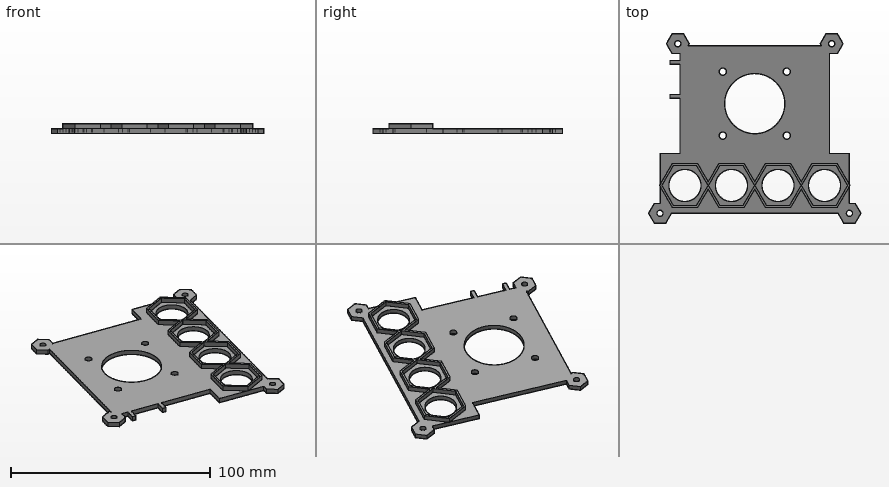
import cadquery as cq
import math

total_height = 5.0
plate_thickness = total_height / 2
ring_height = total_height - plate_thickness

overall_width = 106.5
ear_flats = 10.0
ear_diameter = ear_flats / math.cos(math.pi / 6)
ear_hole_diameter = 3.0
lower_ear_x = (overall_width - ear_diameter) / 2
upper_ear_x = 38.6
upper_ear_y = 85.0

panel_width = 2 * lower_ear_x
panel_height = 30.0
display_width = 75.0
display_top_drop = 1.0
display_top = upper_ear_y - display_top_drop

opening_y = 55.0
opening_diameter = 30.0
screw_spacing = 32.1
screw_hole_diameter = 3.5

button_count = 4
button_pitch = 23.3
button_y = 14.0
button_hole_diameter = 16.0
ring_outer_flats = 22.1
ring_inner_flats = 20.0

tab_length = 5.0
tab_width = 2.0
tab_centers_y = (58.6, 75.7)


def hexagons(points, flats, base_z, height):
    """Hexagonal prisms with flat sides facing +Y and -Y."""
    corner_diameter = flats / math.cos(math.pi / 6)
    return (
        cq.Workplane("XY", origin=(0, 0, base_z))
        .pushPoints(points)
        .polygon(6, corner_diameter)
        .extrude(height)
    )


def through_holes(points, diameter):
    """Cylinders that pass through the full plate thickness."""
    return cq.Workplane("XY").pushPoints(points).circle(diameter / 2).extrude(plate_thickness)


def slab(x_min, x_max, y_min, y_max):
    """Rectangular piece of the plate."""
    size = (x_max - x_min, y_max - y_min, plate_thickness)
    return cq.Workplane("XY").box(*size, centered=False).translate((x_min, y_min, 0))


ear_points = [
    (side * x, y)
    for x, y in ((lower_ear_x, 0), (upper_ear_x, upper_ear_y))
    for side in (-1, 1)
]
screw_points = [
    (side_x * screw_spacing / 2, opening_y + side_y * screw_spacing / 2)
    for side_x in (-1, 1)
    for side_y in (-1, 1)
]
button_points = [
    ((index - (button_count - 1) / 2) * button_pitch, button_y)
    for index in range(button_count)
]

plate = slab(-panel_width / 2, panel_width / 2, 0, panel_height)
plate = plate.union(slab(-display_width / 2, display_width / 2, 0, display_top))
plate = plate.union(hexagons(ear_points, ear_flats, 0, plate_thickness))
for tab_y in tab_centers_y:
    tab_left = -display_width / 2 - tab_length
    plate = plate.union(slab(tab_left, 0, tab_y - tab_width / 2, tab_y + tab_width / 2))

plate = plate.cut(through_holes(ear_points, ear_hole_diameter))
plate = plate.cut(through_holes(screw_points, screw_hole_diameter))
plate = plate.cut(through_holes([(0, opening_y)], opening_diameter))
plate = plate.cut(through_holes(button_points, button_hole_diameter))

rings = hexagons(button_points, ring_outer_flats, plate_thickness, ring_height)
rings = rings.cut(hexagons(button_points, ring_inner_flats, plate_thickness, ring_height))

result = plate.union(rings)